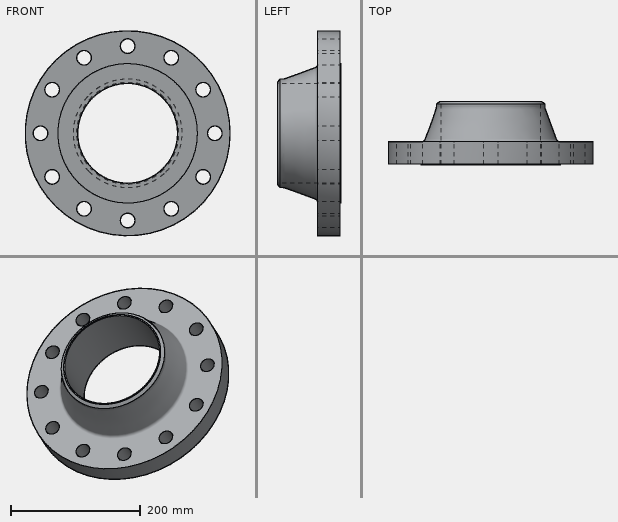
import cadquery as cq
import math


flange_diameter = 317.5
raised_face_diameter = 215.9
raised_face_height = 1.6
flange_back = 36.5

overall_length = 98.5
bore_diameter = 154.1
neck_diameter = 168.3
hub_diameter = 206.4
neck_straight_length = 10.0
hub_fillet_radius = 5.5
neck_fillet_radius = 8.0

bevel_land = 2.0
bevel_angle = 37.5

bolt_count = 12
bolt_circle_diameter = 269.9
bolt_hole_diameter = 22.2

bore_radius = bore_diameter / 2
neck_radius = neck_diameter / 2
hub_radius = hub_diameter / 2
flange_radius = flange_diameter / 2
raised_face_radius = raised_face_diameter / 2
cone_end = overall_length - neck_straight_length
bevel_radius = bore_radius + bevel_land
bevel_length = (neck_radius - bevel_radius) * math.tan(math.radians(bevel_angle))


def ring_edge(body, radius, y):
    """Select the circular edge of the given radius centred on the Y axis at y."""
    selection_margin = 0.1
    reach = radius + selection_margin
    box = cq.selectors.BoxSelector(
        (-reach, y - selection_margin, -reach),
        (reach, y + selection_margin, reach),
        boundingbox=True,
    )
    return body.edges(box).edges(cq.selectors.RadiusNthSelector(-1))


def make_body():
    """Revolve the half section, then round both ends of the hub cone."""
    body = (
        cq.Workplane("XY")
        .moveTo(bore_radius, 0)
        .lineTo(raised_face_radius, 0)
        .lineTo(raised_face_radius, raised_face_height)
        .lineTo(flange_radius, raised_face_height)
        .lineTo(flange_radius, flange_back)
        .lineTo(hub_radius, flange_back)
        .lineTo(neck_radius, cone_end)
        .lineTo(neck_radius, overall_length - bevel_length)
        .lineTo(bevel_radius, overall_length)
        .lineTo(bore_radius, overall_length)
        .close()
        .revolve(360, (0, 0, 0), (0, 1, 0))
    )
    body = ring_edge(body, hub_radius, flange_back).fillet(hub_fillet_radius)
    return ring_edge(body, neck_radius, cone_end).fillet(neck_fillet_radius)


def make_bolt_holes():
    """Cylinders on the bolt circle that pass through the whole plate."""
    return (
        cq.Workplane("XZ")
        .polarArray(bolt_circle_diameter / 2, 0, 360, bolt_count)
        .circle(bolt_hole_diameter / 2)
        .extrude(-flange_back)
    )


result = make_body().cut(make_bolt_holes())